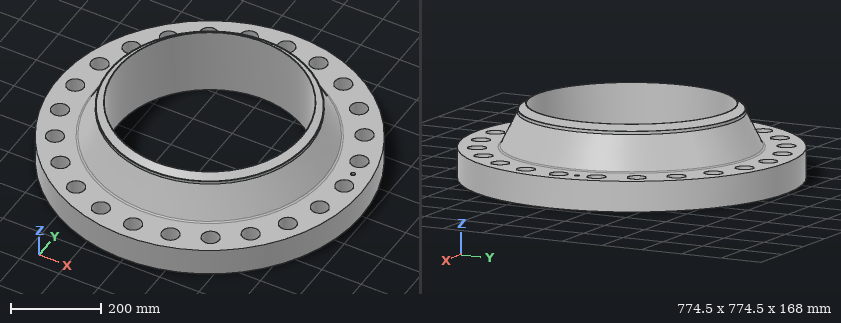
import cadquery as cq
import math

flange_diameter = 774.5
flange_thickness = 70.0
total_height = 168.0

bore_diameter = 468.0
neck_diameter = 508.0
hub_base_diameter = 587.0
neck_band_height = 7.0
bevel_ledge_width = 2.0
weld_land_width = 1.5
weld_bevel_angle = 37.5
hub_fillet_radius = 5.0

bolt_circle_diameter = 686.0
bolt_hole_count = 24
bolt_hole_diameter = 42.0

small_hole_diameter = 6.0
small_hole_depth = 15.5
countersink_diameter = 11.0
countersink_angle = 90

flange_radius = flange_diameter / 2
bore_radius = bore_diameter / 2
neck_radius = neck_diameter / 2
hub_base_radius = hub_base_diameter / 2
bolt_circle_radius = bolt_circle_diameter / 2
bolt_pitch_angle = 360 / bolt_hole_count

land_radius = bore_radius + weld_land_width
bevel_base_radius = neck_radius - bevel_ledge_width
bevel_height = (bevel_base_radius - land_radius) * math.tan(math.radians(weld_bevel_angle))
band_top = total_height - bevel_height
band_bottom = band_top - neck_band_height


def make_body():
    """Revolve the flange and neck section about Z and round the root of the hub."""
    section = (
        cq.Workplane("XZ")
        .moveTo(bore_radius, 0)
        .lineTo(flange_radius, 0)
        .lineTo(flange_radius, flange_thickness)
        .lineTo(hub_base_radius, flange_thickness)
        .lineTo(neck_radius, band_bottom)
        .lineTo(neck_radius, band_top)
        .lineTo(bevel_base_radius, band_top)
        .lineTo(land_radius, total_height)
        .lineTo(bore_radius, total_height)
        .close()
    )
    body = section.revolve(360, (0, 0, 0), (0, 1, 0))
    hub_root = cq.selectors.RadiusNthSelector(0)
    return body.faces("|Z").faces("<Z[-2]").edges(hub_root).fillet(hub_fillet_radius)


def add_bolt_holes(body):
    """Cut through holes evenly spaced on the bolt circle."""
    holes = (
        cq.Workplane("XY")
        .polarArray(bolt_circle_radius, 0, 360, bolt_hole_count)
        .circle(bolt_hole_diameter / 2)
        .extrude(flange_thickness)
    )
    return body.cut(holes)


def add_small_hole(body):
    """Cut the small hole in the flange top, on the bolt circle half a pitch from +X."""
    return (
        body.copyWorkplane(cq.Workplane("XY", origin=(0, 0, flange_thickness)))
        .polarArray(bolt_circle_radius, bolt_pitch_angle / 2, 360, 1)
        .cskHole(small_hole_diameter, countersink_diameter, countersink_angle, small_hole_depth)
    )


result = add_small_hole(add_bolt_holes(make_body())).solids()